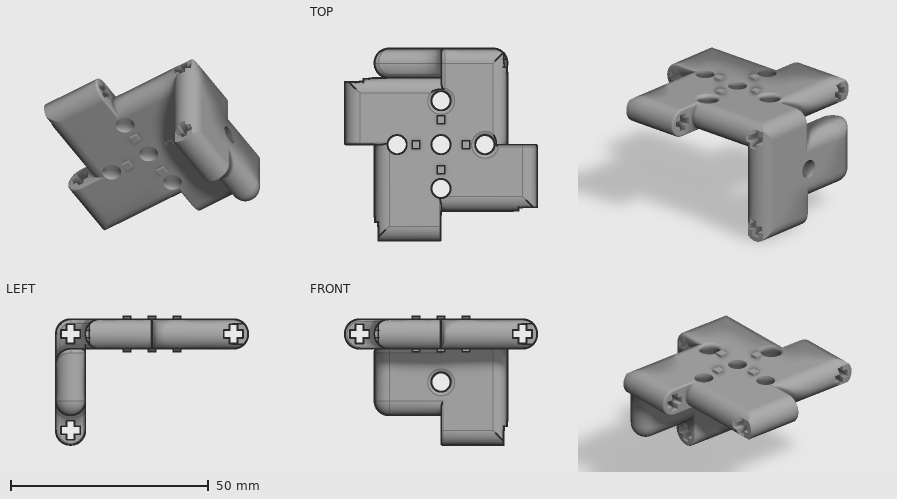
import cadquery as cq

thickness = 7.5
barrel_radius = thickness / 2
reach = 24.365
arm_width = reach - thickness
axis_offset = reach - barrel_radius
flat_limit = arm_width - barrel_radius
barrel_inset = 1.0

thin_edge = 0.5
thick_edge = 1.0

overlap = thick_edge

hole_radius = 2.4
hole_flare = 1.0
hole_offset = 11.1

cross_length = 4.8
cross_width = 2.0

pip_size = 2.0
pip_height = 0.75
pip_offset = 6.33

upright_middle = -reach / 2
lower_axis = -reach
lower_arm_root = axis_offset + lower_axis - upright_middle
tab_top = -barrel_radius
tab_bottom_axis = -axis_offset + barrel_radius

quarter_turns = (0, 90, 180, 270)
fold_turn = 90
flared_turns = (0, 90)


def block(x_range, y_range, z_range):
    """Block spanning the given (low, high) ranges."""
    size = [high - low for low, high in (x_range, y_range, z_range)]
    corner = (x_range[0], y_range[0], z_range[0])
    return cq.Workplane("XY").box(*size, centered=False).translate(corner)


def turn(body, angle):
    """The body turned about the Z axis."""
    return body.rotate((0, 0, 0), (0, 0, 1), angle)


def hang(body):
    """An arm along +X placed as the lower arm of the upright plate, its barrel at lower_axis."""
    upright = turn(body, 90).rotate((0, 0, 0), (1, 0, 0), -90)
    return upright.translate((0, axis_offset, lower_axis + axis_offset))


def rounded_bar(plane, root, nose_centre, length):
    """Bar whose section runs along the plane's first axis from a square root to a round nose."""
    return (
        cq.Workplane(plane)
        .moveTo(root, barrel_radius)
        .lineTo(nose_centre, barrel_radius)
        .tangentArcPoint((nose_centre, -barrel_radius), relative=False)
        .lineTo(root, -barrel_radius)
        .close()
        .extrude(length)
    )


def make_arm(edge_radius, root=-overlap):
    """Arm along +X: hinge face on Y = 0, rounded long side towards -Y, shortened round barrel."""
    arm = rounded_bar("XZ", root, axis_offset, arm_width)
    arm = arm.faces(">Y").edges("not(<X)").fillet(edge_radius)
    long_side = rounded_bar("YZ", 0, flat_limit, reach - root).mirror("XZ").translate((root, 0, 0))
    beyond_barrel = block(
        (axis_offset, reach), (-arm_width, barrel_inset - arm_width), (-barrel_radius, barrel_radius)
    )
    return arm.intersect(long_side).cut(beyond_barrel)


def make_pinwheel():
    """Flat plate: four arms around a square core, heavier edge rounding on the +Y arm."""
    core = (-flat_limit, flat_limit)
    plate = block(core, core, (-barrel_radius, barrel_radius))
    for angle in quarter_turns:
        edge_radius = thick_edge if angle == fold_turn else thin_edge
        plate = plate.union(turn(make_arm(edge_radius), angle))
    fold_corner = block((0, arm_width), (axis_offset, reach), (-barrel_radius, barrel_radius))
    return plate.cut(fold_corner.cut(make_fold_outline().extrude(thickness, both=True)))


def make_fold_outline():
    """Plan of the fold: a bar along X whose +X end is round."""
    return (
        cq.Workplane("XY")
        .moveTo(0, arm_width)
        .lineTo(flat_limit, arm_width)
        .tangentArcPoint((flat_limit, reach), relative=False)
        .lineTo(0, reach)
        .close()
    )


def make_fold():
    """Upper part of the upright plate, from the fold's hinge axis down to its middle."""
    fold = make_fold_outline().extrude(upright_middle)
    return fold.edges("|Z and <X and >Y").fillet(thick_edge)


def make_tab():
    """Tab of the upright plate towards -X: rounded back, ball-shaped lower corner."""
    tab = (
        cq.Workplane("XY", origin=(0, 0, tab_bottom_axis))
        .moveTo(overlap, reach)
        .lineTo(-flat_limit, reach)
        .tangentArcPoint((-flat_limit, arm_width), relative=False)
        .lineTo(overlap, arm_width)
        .close()
        .extrude(tab_top - tab_bottom_axis)
    )
    back_rounding = (
        cq.Workplane("YZ", origin=(overlap, 0, 0))
        .moveTo(0, tab_bottom_axis)
        .lineTo(0, tab_top)
        .lineTo(axis_offset, tab_top)
        .radiusArc((reach, tab_top - barrel_radius), barrel_radius)
        .lineTo(reach, tab_bottom_axis)
        .close()
        .extrude(-arm_width - overlap)
    )
    tab = tab.intersect(back_rounding)
    top_rim = tab.faces(">Z").edges("(not >X) and (not >Y)")
    tab = top_rim.fillet(thick_edge)
    corner = (-flat_limit, axis_offset, tab_bottom_axis)
    lower_edge = cq.Workplane("YZ", origin=corner).circle(barrel_radius).extrude(flat_limit + overlap)
    ball = cq.Workplane("XY", origin=corner).sphere(barrel_radius)
    return tab.union(lower_edge).union(ball)


def make_upright():
    """Upright plate: the fold, the lower arm and the tab around a flat core."""
    core = block(
        (-flat_limit, flat_limit), (arm_width, reach), (tab_bottom_axis, tab_top - barrel_radius)
    )
    lower_arm = hang(make_arm(thin_edge, root=lower_arm_root))
    return core.union(lower_arm).union(make_fold()).union(make_tab())


def make_cross_bore():
    """Cross-shaped cutter along the hinge axis of an arm along +X."""
    section = cq.Workplane("XZ").center(axis_offset, 0)
    flat_slot = section.rect(cross_length, cross_width).extrude(arm_width)
    upright_slot = section.rect(cross_width, cross_length).extrude(arm_width)
    return flat_slot.union(upright_slot)


def make_flared_bore():
    """Cutter for a flared hole along Z, the rim on Z = 0 and the hole below it."""
    return (
        cq.Workplane("XZ")
        .lineTo(0, -thickness)
        .lineTo(hole_radius, -thickness)
        .lineTo(hole_radius, -hole_flare)
        .radiusArc((hole_radius + hole_flare, 0), hole_flare)
        .close()
        .revolve(360, (0, 0, 0), (0, 1, 0))
    )


def make_flat_bores():
    """Cutters for the five holes of the pinwheel plate; those at +X and +Y are flared on top."""
    bores = cq.Workplane("XY").circle(hole_radius).extrude(thickness, both=True)
    for angle in quarter_turns:
        if angle in flared_turns:
            bore = make_flared_bore().translate((hole_offset, 0, barrel_radius))
        else:
            bore = cq.Workplane("XY").center(hole_offset, 0).circle(hole_radius)
            bore = bore.extrude(thickness, both=True)
        bores = bores.union(turn(bore, angle))
    return bores


def make_upright_bore():
    """Cutter for the hole of the upright plate, flared on the -Y face."""
    facing_front = make_flared_bore().rotate((0, 0, 0), (1, 0, 0), 90)
    return facing_front.translate((0, arm_width, upright_middle))


def make_pips():
    """Square pips on both faces of the pinwheel plate, one on each half axis."""
    height = thickness + 2 * pip_height
    centres = [(pip_offset, 0), (0, pip_offset), (-pip_offset, 0), (0, -pip_offset)]
    return cq.Workplane("XY").pushPoints(centres).box(pip_size, pip_size, height)


result = make_pinwheel().union(make_upright()).union(make_pips())
for turn_angle in quarter_turns:
    result = result.cut(turn(make_cross_bore(), turn_angle))
result = result.cut(hang(make_cross_bore()))
result = result.cut(make_flat_bores()).cut(make_upright_bore())